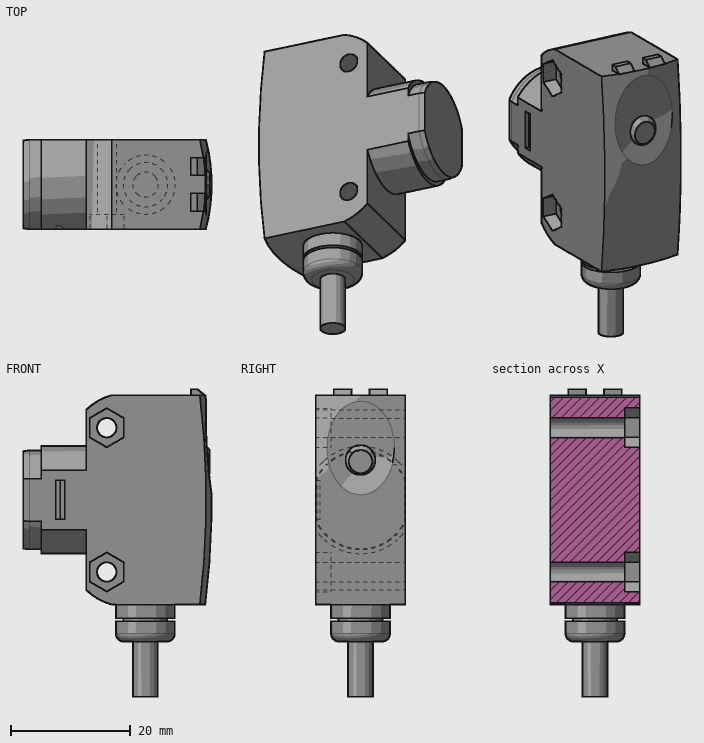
import cadquery as cq
import math


width = 15.0
half_width = width / 2
body_height = 35.0
half_height = body_height / 2
length = 31.5

body_left = 10.5
cover_left = 28.0
corner_run = 4.25
corner_drop = 2.45
corner_radius = 10.0

dome_side_drop = 0.95
dome_end_drop = 1.05

dimple_radius = 46.0
dimple_floor = 30.28
dimple_z = 11.4
knob_z = 6.4
knob_tip = 31.15
knob_tip_radius = 1.95
knob_height = 1.2
knob_flare = 45.0

tab_height = 1.0
tab_width = 3.0
tab_centre_y = 3.0
tab_flat_end = 29.1
tab_slope_run = 1.2

barrel_radius = 9.0
barrel_left = 3.0
rim_radius = 8.3
plate_thickness = 1.0
plate_inset = 0.15

slot_left = 5.4
slot_length = 1.5
slot_height = 6.5
slot_depth = 0.7

hole_x = 13.95
hole_spacing = 24.1
hole_diameter = 3.2
nut_sides = 6
nut_flats = 5.65
nut_depth = 2.5

gland_x = 20.4
gland_radius = 4.95
collar_height = 2.3
neck_radius = 3.7
neck_height = 0.45
cap_height = 3.45
cap_fillet = 1.4
cable_radius = 2.1
cable_end_z = -32.9


def arc_radius(half_chord, rise):
    """Radius of the arc that rises by `rise` over a chord of 2 * half_chord."""
    return (half_chord ** 2 + rise ** 2) / (2 * rise)


def disc_section(radius, left, right):
    """Round bar along X, cut flat to the width of the body."""
    bar = cq.Workplane("YZ", origin=(left, 0, 0)).circle(radius).extrude(right - left)
    flats = cq.Workplane("XY").box(2 * right, width, 2 * radius)
    return bar.intersect(flats)


def make_body():
    """Block whose two left-hand corners are rounded by shallow arcs."""
    shoulder = body_left + corner_run
    corner_z = half_height - corner_drop
    return (
        cq.Workplane("XZ", origin=(0, half_width, 0))
        .moveTo(cover_left, -half_height)
        .lineTo(cover_left, half_height)
        .lineTo(shoulder, half_height)
        .radiusArc((body_left, corner_z), -corner_radius)
        .lineTo(body_left, -corner_z)
        .radiusArc((shoulder, -half_height), -corner_radius)
        .close()
        .extrude(width)
    )


def make_cover():
    """Cover plate whose outer face is crowned along both Y and Z."""
    sweep_radius = arc_radius(half_height, dome_end_drop)
    axis_x = length - sweep_radius
    sweep_angle = 2 * math.degrees(math.asin(body_height / sweep_radius))
    edge_x = length - dome_side_drop
    dome = (
        cq.Workplane("XY")
        .moveTo(body_left, -half_width)
        .lineTo(edge_x, -half_width)
        .threePointArc((length, 0), (edge_x, half_width))
        .lineTo(body_left, half_width)
        .close()
        .revolve(sweep_angle, (axis_x, 0, 0), (axis_x, 1, 0))
        .rotate((axis_x, 0, 0), (axis_x, 1, 0), -sweep_angle / 2)
    )
    blank = cq.Workplane("XY").box(length - cover_left, width, body_height)
    return dome.intersect(blank.translate(((cover_left + length) / 2, 0, 0)))


def make_dimple():
    """Ball that scoops the dimple out of the cover face."""
    centre_x = dimple_floor + dimple_radius
    return cq.Workplane("XY").sphere(dimple_radius).translate((centre_x, 0, dimple_z))


def make_knob():
    """Flared round knob standing in the dimple."""
    plane = cq.Plane(origin=(knob_tip, 0, knob_z), xDir=(0, 1, 0), normal=(-1, 0, 0))
    return cq.Workplane(plane).circle(knob_tip_radius).extrude(knob_height, taper=-knob_flare)


def make_tab(centre_y):
    """Raised tab whose outer end slopes down to the cover top."""
    top = half_height + tab_height
    return (
        cq.Workplane("XZ", origin=(0, centre_y + tab_width / 2, 0))
        .moveTo(cover_left, half_height)
        .lineTo(cover_left, top)
        .lineTo(tab_flat_end, top)
        .lineTo(tab_flat_end + tab_slope_run, half_height)
        .close()
        .extrude(tab_width)
    )


def make_lens():
    """Flat-sided barrel, stepped rim and tapered front plate."""
    barrel = disc_section(barrel_radius, barrel_left, body_left)
    rim = disc_section(rim_radius, plate_thickness, barrel_left)
    taper = math.degrees(math.atan(plate_inset / plate_thickness))
    front_outline = rim.faces("<X").wires().toPending().workplane()
    plate = front_outline.extrude(plate_thickness, taper=taper, combine=False)
    return barrel.union(rim).union(plate)


def make_slot():
    """Shallow slot in the -Y side; its +X end wall slopes out to the surface."""
    slot_right = slot_left + slot_length
    return (
        cq.Workplane("XY", origin=(0, 0, -slot_height / 2))
        .moveTo(slot_left, -half_width)
        .lineTo(slot_left, slot_depth - half_width)
        .lineTo(slot_right - slot_depth, slot_depth - half_width)
        .lineTo(slot_right, -half_width)
        .close()
        .extrude(slot_height)
    )


def make_mounting_hole(z):
    """Through hole with a nut pocket opening on the -Y side."""
    side = cq.Workplane("XZ", origin=(hole_x, -half_width, z))
    hole = side.circle(hole_diameter / 2).extrude(-width)
    nut_corners = nut_flats / math.cos(math.pi / nut_sides)
    nut_plane = side.transformed(rotate=(0, 0, 180 / nut_sides))
    pocket = nut_plane.polygon(nut_sides, nut_corners).extrude(-nut_depth)
    return hole.union(pocket)


def make_cable():
    """Gland collar, neck, rounded cap and cable, stacked downwards."""
    neck_top = -half_height - collar_height
    cap_top = neck_top - neck_height
    bottom = cq.Workplane("XY", origin=(gland_x, 0, -half_height))
    collar = bottom.circle(gland_radius).extrude(-collar_height)
    neck = cq.Workplane("XY", origin=(gland_x, 0, neck_top)).circle(neck_radius).extrude(-neck_height)
    cap = cq.Workplane("XY", origin=(gland_x, 0, cap_top)).circle(gland_radius).extrude(-cap_height)
    cap = cap.faces("<Z").edges().fillet(cap_fillet)
    cable = bottom.circle(cable_radius).extrude(cable_end_z + half_height)
    return collar.union(neck).union(cap).union(cable)


result = make_body().union(make_cover().cut(make_dimple()).union(make_knob()))
for tab_y in (-tab_centre_y, tab_centre_y):
    result = result.union(make_tab(tab_y))
result = result.union(make_lens()).union(make_cable()).cut(make_slot())
for hole_z in (-hole_spacing / 2, hole_spacing / 2):
    result = result.cut(make_mounting_hole(hole_z))